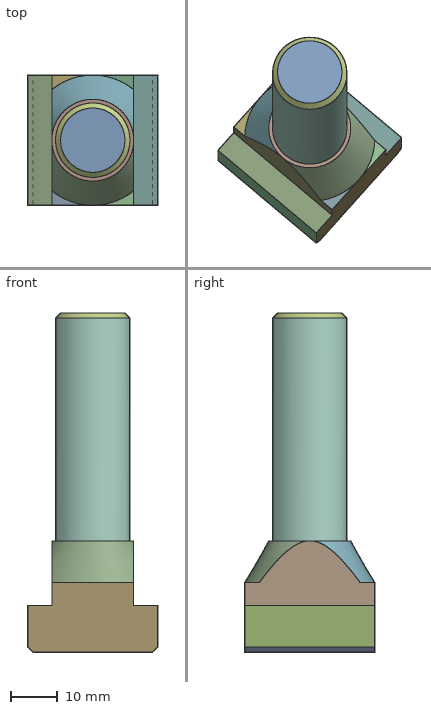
import cadquery as cq

head_side = 28.0
head_height = 10.1
bottom_chamfer = 1.2

neck_width = 17.6
neck_top = 15.0

cone_top = 24.0
cone_bottom_radius = head_side / 2
cone_top_radius = neck_width / 2

shank_diameter = 16.0
total_height = 73.0
tip_chamfer = 1.08


def make_head():
    """Square head with its two lower edges parallel to Y chamfered."""
    block = cq.Workplane("XY").box(head_side, head_side, head_height, centered=(True, True, False))
    return block.faces("<Z").edges("|Y").chamfer(bottom_chamfer)


def make_neck():
    """Rectangular neck running the full depth of the head."""
    return (
        cq.Workplane("XY")
        .workplane(offset=head_height)
        .rect(neck_width, head_side)
        .extrude(neck_top - head_height)
    )


def make_shoulder():
    """Cone from the neck up to the shank, cut to the neck width."""
    cone = (
        cq.Workplane("XZ")
        .moveTo(0, neck_top)
        .lineTo(cone_bottom_radius, neck_top)
        .lineTo(cone_top_radius, cone_top)
        .lineTo(0, cone_top)
        .close()
        .revolve(360, (0, 0, 0), (0, 1, 0))
    )
    trim = cq.Workplane("XY").box(neck_width, head_side, total_height, centered=(True, True, False))
    return cone.intersect(trim)


def make_shank():
    """Round shank with a chamfered tip."""
    shank = (
        cq.Workplane("XY")
        .workplane(offset=cone_top)
        .circle(shank_diameter / 2)
        .extrude(total_height - cone_top)
    )
    return shank.faces(">Z").chamfer(tip_chamfer)


result = make_head().union(make_neck()).union(make_shoulder()).union(make_shank())